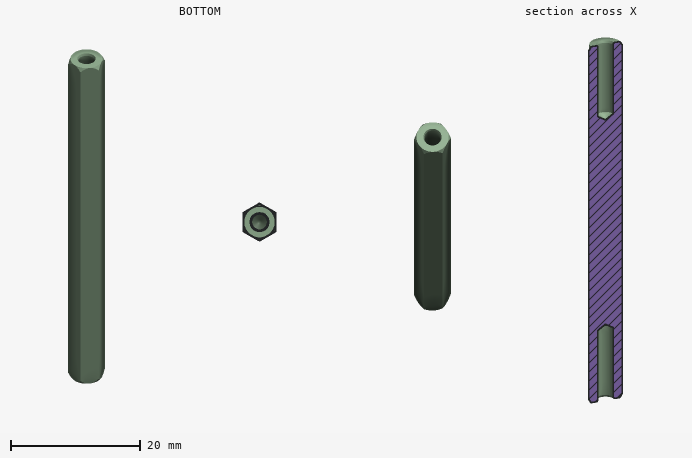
import cadquery as cq
import math

length = 60.0
across_flats = 5.0
across_corners = across_flats / math.cos(math.pi / 6)

end_face_diameter = across_flats
corner_chamfer_angle = 60.0

hole_diameter = 2.5
hole_depth = 12.0
drill_point_angle = 118.0
countersink_diameter = 2.8
countersink_depth = 0.35


def hexagonal_bar():
    """Hexagon with corners on +Y and -Y, centred on the origin."""
    bar = cq.Workplane("XY").polygon(6, across_corners).extrude(length)
    return bar.rotate((0, 0, 0), (0, 0, 1), 30).translate((0, 0, -length / 2))


def corner_trimming_body():
    """Revolved envelope whose conical ends cut back the hexagon corners."""
    outer_radius = across_corners / 2 + 0.6
    face_radius = end_face_diameter / 2
    cone_height = (outer_radius - face_radius) * math.tan(math.radians(corner_chamfer_angle))
    top = length / 2
    return (
        cq.Workplane("XZ")
        .moveTo(0, -top)
        .lineTo(face_radius, -top)
        .lineTo(outer_radius, -top + cone_height)
        .lineTo(outer_radius, top - cone_height)
        .lineTo(face_radius, top)
        .lineTo(0, top)
        .close()
        .revolve(360, (0, 0, 0), (0, 1, 0))
    )


def top_hole():
    """Countersunk hole in the upper end, finished by a conical drill point."""
    radius = hole_diameter / 2
    mouth_radius = countersink_diameter / 2
    top = length / 2
    floor = top - hole_depth
    point_height = radius / math.tan(math.radians(drill_point_angle / 2))
    return (
        cq.Workplane("XZ")
        .moveTo(0, top)
        .lineTo(mouth_radius, top)
        .lineTo(radius, top - countersink_depth)
        .lineTo(radius, floor)
        .lineTo(0, floor - point_height)
        .close()
        .revolve(360, (0, 0, 0), (0, 1, 0))
    )


hole = top_hole()
result = hexagonal_bar().intersect(corner_trimming_body()).cut(hole).cut(hole.mirror("XY"))